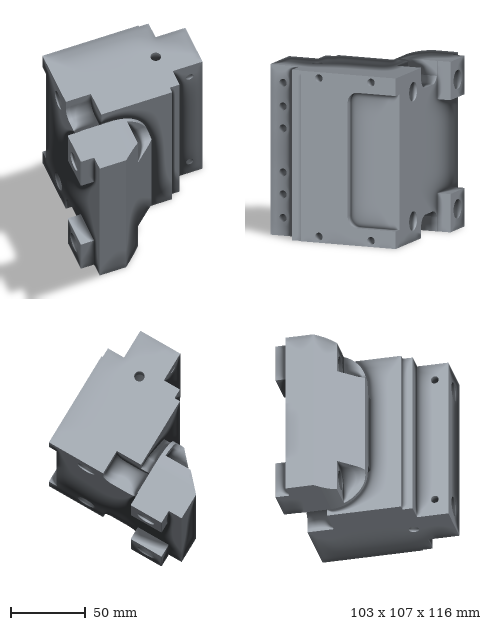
import cadquery as cq
import math

HEIGHT = 116.0
WIDTH = 103.0
DEPTH = 107.0
FOOT_DEPTH = 9.5
HALF_HEIGHT = HEIGHT / 2
BACK_Y = DEPTH - FOOT_DEPTH

BODY_WIDTH = 60.9
BODY_DEPTH = 69.0
SHOULDER_LEFT = 0.9
SHOULDER_RIGHT = 56.7
SHOULDER_Y = 76.0
TANG_WIDTH = 31.0
TANG_CENTER = 28.9
TANG_LEFT = TANG_CENTER - TANG_WIDTH / 2
TANG_RIGHT = TANG_CENTER + TANG_WIDTH / 2

BLOCK_LEFT = 68.7
BLOCK_BACK_Y = 48.0
BLOCK_BEVEL_X = 76.6
BLOCK_BEVEL_Y = 19.0
BLOCK_ROUND_RADIUS = 25.0
WEB_HALF_HEIGHT = 47.9
WEB_BEVEL = 20.9

FOOT_LEFT = 69.0
FOOT_RIGHT = 93.0
FOOT_INNER_Z = 31.9
FOOT_CHAMFER = 0.3

CLEARANCE_LEFT = 42.1
CLEARANCE_HEIGHT = 14.8
CLEARANCE_DEPTH = 18.0
CLEARANCE_RADIUS = 7.4

SIDE_POCKET_DEPTH = 6.0
SIDE_POCKET_LENGTH = 35.0
SIDE_POCKET_HEIGHT = 92.1
SIDE_POCKET_RADIUS = 7.3

BOLT_DIAMETER = 13.1
BOLT_SPACING = 52.0
BOLT_Z = 44.0
SEAT_RADIUS = 9.4
SEAT_Y = 32.2
BOLT_XS = (TANG_CENTER, TANG_CENTER + BOLT_SPACING)

CROSS_DIAMETER = 7.0
CROSS_Y = 70.0

SMALL_DIAMETER = 5.3
SMALL_DEPTH = 11.6
DRILL_POINT_ANGLE = 118.0
TANG_HOLE_Y = BACK_Y - 9.3
TANG_THROUGH_Z = 45.9
TANG_BLIND_ZS = (15.0, 29.9)
COVER_HOLE_YS = (18.0, 56.0)
COVER_HOLE_Z = 53.8


def box(x_range, y_range, z_range):
    """Box spanning the given (low, high) pairs."""
    spans = [high - low for low, high in (x_range, y_range, z_range)]
    corner = (x_range[0], y_range[0], z_range[0])
    return cq.Workplane("XY").box(*spans, centered=False).translate(corner)


def mirrored(shape):
    """The shape together with its mirror image below z = 0."""
    return shape.union(shape.mirror("XY"))


def make_body():
    outline = [
        (0, 0),
        (BODY_WIDTH, 0),
        (BODY_WIDTH, BODY_DEPTH),
        (SHOULDER_RIGHT, BODY_DEPTH),
        (SHOULDER_RIGHT, SHOULDER_Y),
        (TANG_RIGHT, SHOULDER_Y),
        (TANG_RIGHT, BACK_Y),
        (TANG_LEFT, BACK_Y),
        (TANG_LEFT, SHOULDER_Y),
        (SHOULDER_LEFT, SHOULDER_Y),
        (SHOULDER_LEFT, BODY_DEPTH),
        (0, BODY_DEPTH),
    ]
    return cq.Workplane("XY").polyline(outline).close().extrude(HALF_HEIGHT, both=True)


def make_web():
    web = box((BODY_WIDTH, BLOCK_LEFT), (0, BLOCK_BACK_Y), (-WEB_HALF_HEIGHT, WEB_HALF_HEIGHT))
    return web.edges("|X and >Y").chamfer(WEB_BEVEL)


def make_block():
    block = box((BLOCK_LEFT, WIDTH), (0, BLOCK_BACK_Y), (-HALF_HEIGHT, HALF_HEIGHT))
    block = block.edges("|X and >Y").fillet(BLOCK_ROUND_RADIUS)
    corner = [
        (WIDTH, BLOCK_BEVEL_Y),
        (WIDTH, BLOCK_BACK_Y),
        (BLOCK_BEVEL_X, BLOCK_BACK_Y),
    ]
    return block.cut(cq.Workplane("XY").polyline(corner).close().extrude(HALF_HEIGHT, both=True))


def make_feet():
    foot = box((FOOT_LEFT, FOOT_RIGHT), (-FOOT_DEPTH, 0), (FOOT_INNER_Z, HALF_HEIGHT))
    return mirrored(foot.edges("|Z and <Y").chamfer(FOOT_CHAMFER))


def make_clearance_pockets():
    floor_z = HALF_HEIGHT - CLEARANCE_HEIGHT
    pocket = box((CLEARANCE_LEFT, BLOCK_LEFT), (0, CLEARANCE_DEPTH), (floor_z, HALF_HEIGHT))
    return mirrored(pocket.edges("|Y and <Z").fillet(CLEARANCE_RADIUS))


def make_side_pocket():
    half = SIDE_POCKET_HEIGHT / 2
    pocket = box((0, SIDE_POCKET_DEPTH), (0, SIDE_POCKET_LENGTH), (-half, half))
    return pocket.edges("|X and >Y").fillet(SIDE_POCKET_RADIUS)


def make_bolt_holes():
    """Through holes along Y, plus round-cornered head seats open to the outside of the block."""
    centers = [(x, z) for x in BOLT_XS for z in (-BOLT_Z, BOLT_Z)]
    plane = cq.Workplane("XZ", origin=(0, BACK_Y, 0))
    holes = plane.pushPoints(centers).circle(BOLT_DIAMETER / 2).extrude(DEPTH)
    seat_left = BOLT_XS[1] - SEAT_RADIUS
    seat = box((seat_left, WIDTH), (SEAT_Y, BLOCK_BACK_Y), (BOLT_Z - SEAT_RADIUS, HALF_HEIGHT))
    seat = seat.edges("|Y and <X and <Z").fillet(SEAT_RADIUS)
    return holes.union(mirrored(seat))


def make_cross_holes():
    plane = cq.Workplane("XY", origin=(TANG_CENTER, CROSS_Y, BOLT_Z))
    return mirrored(plane.circle(CROSS_DIAMETER / 2).extrude(HALF_HEIGHT - BOLT_Z))


def blind_hole(x, y, z):
    """Pointed-bottom hole drilled toward +X from the point (x, y, z)."""
    radius = SMALL_DIAMETER / 2
    tip_length = radius / math.tan(math.radians(DRILL_POINT_ANGLE / 2))
    profile = [(0, 0), (0, radius), (SMALL_DEPTH, radius), (SMALL_DEPTH + tip_length, 0)]
    hole = cq.Workplane("XY").polyline(profile).close().revolve(360, (0, 0), (1, 0))
    return hole.translate((x, y, z))


def make_small_holes():
    plane = cq.Workplane("YZ", origin=(TANG_LEFT, TANG_HOLE_Y, TANG_THROUGH_Z))
    holes = plane.circle(SMALL_DIAMETER / 2).extrude(TANG_WIDTH)
    for z in TANG_BLIND_ZS:
        holes = holes.union(blind_hole(TANG_LEFT, TANG_HOLE_Y, z))
    for y in COVER_HOLE_YS:
        holes = holes.union(blind_hole(0, y, COVER_HOLE_Z))
    return mirrored(holes)


result = make_body().union(make_web()).union(make_block()).union(make_feet())
result = result.cut(make_clearance_pockets()).cut(make_side_pocket())
result = result.cut(make_bolt_holes()).cut(make_cross_holes()).cut(make_small_holes())